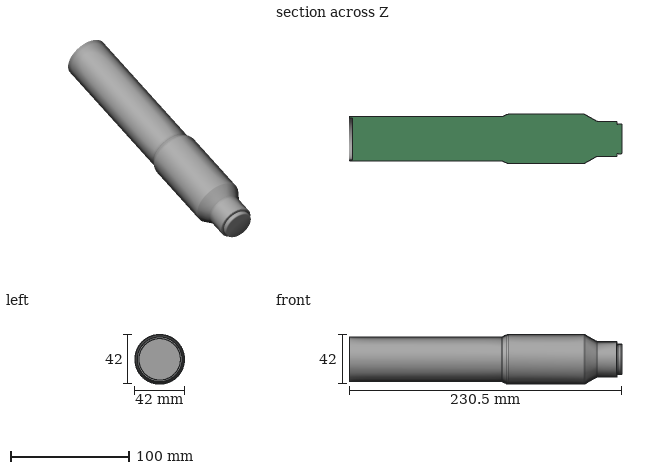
import cadquery as cq

tube_radius = 19.0
barrel_radius = 21.0
neck_radius = 15.0
tip_radius = 13.0

length = 230.5
tube_end = 129.0
barrel_start = 133.6
barrel_end = 198.5
neck_start = 209.2
neck_end = 226.3

recess_radius = 17.5
recess_depth = 2.5

barrel_start_fillet = 3.7
barrel_edge_fillet = 1.2
neck_root_fillet = 2.3
neck_chamfer = 0.5
tip_fillet = 1.2


def make_body():
    """Revolve the half outline of the stepped body about the X axis."""
    tip_root_radius = tip_radius - tip_fillet
    outline = (
        cq.Workplane("XY")
        .lineTo(0, tube_radius)
        .lineTo(tube_end, tube_radius)
        .lineTo(barrel_start, barrel_radius)
        .lineTo(barrel_end, barrel_radius)
        .lineTo(neck_start, neck_radius)
        .lineTo(neck_end, neck_radius)
        .lineTo(neck_end, tip_root_radius)
        .radiusArc((neck_end + tip_fillet, tip_radius), tip_fillet)
        .lineTo(length, tip_radius)
        .lineTo(length, 0)
        .close()
    )
    return outline.revolve(360, (0, 0, 0), (1, 0, 0))


def ring_edge(x, radius):
    """Select the circular edge of the given radius at position x."""
    margin = 0.12
    reach = radius + margin
    return cq.selectors.BoxSelector(
        (x - margin, -reach, -reach), (x + margin, reach, reach), boundingbox=True
    )


def soften_edges(body):
    """Round the cone edges and outer tip edge, and chamfer the neck shoulder."""
    return (
        body.edges(ring_edge(barrel_start, barrel_radius)).fillet(barrel_start_fillet)
        .edges(ring_edge(barrel_end, barrel_radius)).fillet(barrel_edge_fillet)
        .edges(ring_edge(neck_start, neck_radius)).fillet(neck_root_fillet)
        .edges(ring_edge(length, tip_radius)).fillet(tip_fillet)
        .edges(ring_edge(neck_end, neck_radius)).edges(cq.selectors.RadiusNthSelector(-1))
        .chamfer(neck_chamfer)
    )


recess = cq.Workplane("YZ").circle(recess_radius).extrude(recess_depth)
result = soften_edges(make_body()).cut(recess)